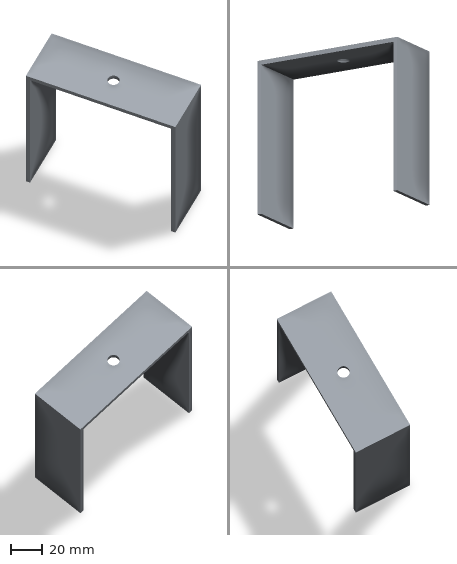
import cadquery as cq

length = 106.0
width = 40.0
height = 103.0
wall = 3.0
hole_diameter = 8.0

block = cq.Workplane("XY").box(length, width, height, centered=(True, True, False))

opening = cq.Workplane("XY").box(
    length - 2 * wall, width, height - wall, centered=(True, True, False)
)
bracket = block.cut(opening)

result = bracket.faces(">Z").workplane(origin=(0, 0, height)).hole(hole_diameter, wall)